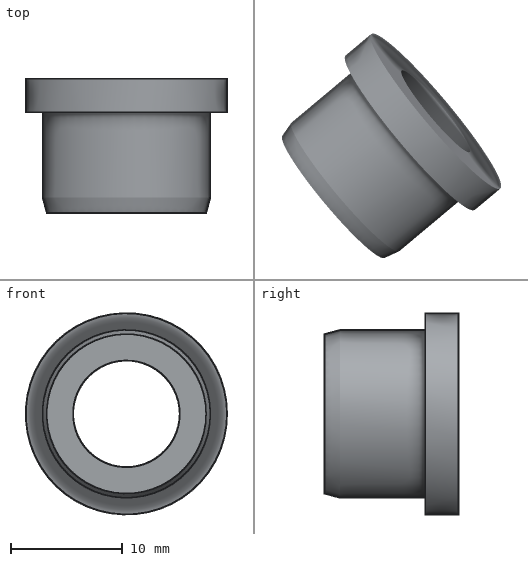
import cadquery as cq

flange_diameter = 18.0
flange_thickness = 3.0
body_diameter = 15.0
bore_diameter = 9.5
total_length = 12.0
lead_in_length = 1.4
lead_in_depth = 0.38

flange_radius = flange_diameter / 2
body_radius = body_diameter / 2
bore_radius = bore_diameter / 2
tip_radius = body_radius - lead_in_depth
flange_start = total_length - flange_thickness

half_section = (
    cq.Workplane("XY")
    .moveTo(bore_radius, 0)
    .lineTo(tip_radius, 0)
    .lineTo(body_radius, lead_in_length)
    .lineTo(body_radius, flange_start)
    .lineTo(flange_radius, flange_start)
    .lineTo(flange_radius, total_length)
    .lineTo(bore_radius, total_length)
    .close()
)

result = half_section.revolve(360, (0, 0, 0), (0, 1, 0))